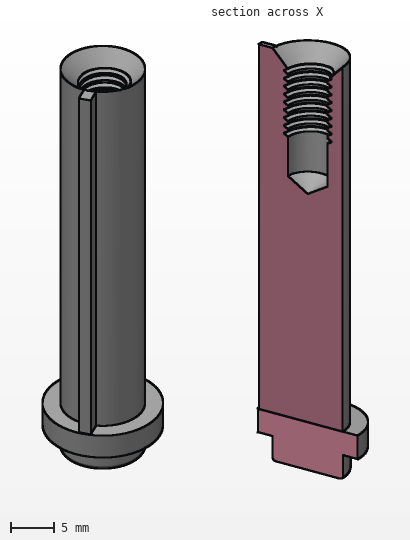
import cadquery as cq
import math

total_height = 52.3

spigot_diameter = 10.0
spigot_height = 3.1
spigot_fillet = 0.5
flange_diameter = 14.0
flange_height = 3.05
flange_top = spigot_height + flange_height

shaft_diameter = 9.85
shaft_height = total_height - flange_top
key_width = 1.45
key_reach = 6.85

bore_radius = 5.5 / 2
rim_radius = shaft_diameter / 2
countersink_angle = 90.0
drill_point_angle = 120.0
bore_depth = 15.7
countersink_depth = (rim_radius - bore_radius) / math.tan(math.radians(countersink_angle / 2))
drill_point_depth = bore_radius / math.tan(math.radians(drill_point_angle / 2))

thread_pitch = 1.0
thread_depth = 0.5
thread_angle = 60.0
thread_root_flat = 0.05
thread_overlap = 0.2
thread_turns = 9.7
thread_start_depth = 10.9
thread_start_angle = 75.0
hole_seam_angle = 200.0


def turn_about_axis(shape, angle):
    return shape.rotate((0, 0, 0), (0, 0, 1), angle)


def make_base():
    spigot = cq.Workplane("XY").circle(spigot_diameter / 2).extrude(spigot_height)
    spigot = spigot.faces("<Z").edges().fillet(spigot_fillet)
    flange_plane = cq.Workplane("XY", origin=(0, 0, spigot_height))
    flange = flange_plane.circle(flange_diameter / 2).extrude(flange_height)
    return spigot.union(flange)


def make_hole():
    bore_bottom = total_height - bore_depth
    return (
        cq.Workplane("XZ")
        .moveTo(0, bore_bottom - drill_point_depth)
        .lineTo(bore_radius, bore_bottom)
        .lineTo(bore_radius, total_height - countersink_depth)
        .lineTo(rim_radius, total_height)
        .lineTo(0, total_height)
        .close()
        .revolve(360, (0, 0, 0), (0, 1, 0))
    )


def make_thread_groove():
    start = total_height - thread_start_depth
    inner_radius = bore_radius - thread_overlap
    root_radius = bore_radius + thread_depth
    half_root = thread_root_flat / 2
    half_mouth = half_root + (root_radius - inner_radius) * math.tan(math.radians(thread_angle / 2))
    helix = cq.Wire.makeHelix(
        thread_pitch,
        thread_pitch * thread_turns,
        inner_radius,
        center=cq.Vector(0, 0, start),
        lefthand=True,
    )
    profile = (
        cq.Workplane("XZ")
        .moveTo(inner_radius, start - half_mouth)
        .lineTo(root_radius, start - half_root)
        .lineTo(root_radius, start + half_root)
        .lineTo(inner_radius, start + half_mouth)
        .close()
    )
    return profile.sweep(cq.Workplane(obj=helix), isFrenet=True)


def make_threaded_hole():
    hole = turn_about_axis(make_hole(), hole_seam_angle).union(make_thread_groove())
    return turn_about_axis(hole, thread_start_angle)


def make_post():
    post_plane = cq.Workplane("XY", origin=(0, 0, flange_top))
    shaft = post_plane.circle(shaft_diameter / 2).extrude(shaft_height)
    key = post_plane.center(0, -key_reach / 2).rect(key_width, key_reach).extrude(shaft_height)
    return shaft.union(key).cut(make_threaded_hole())


base = make_base()
post = make_post()
result = cq.Compound.makeCompound([base.val(), post.val()])